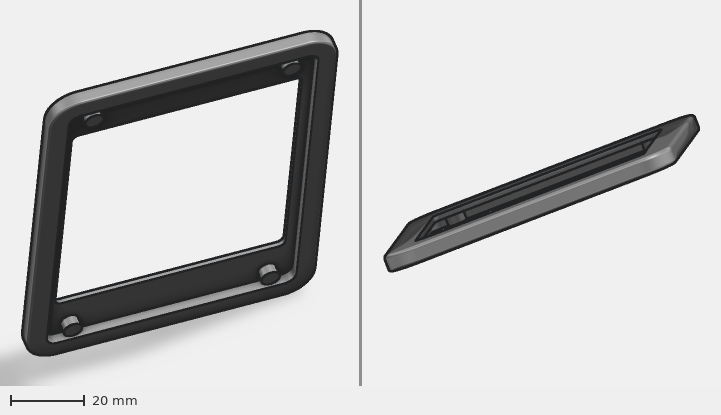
import cadquery as cq
import math

overall_height = 115.2
tilt_angle = 10.0
thickness = 4.7
width = 84.0
corner_radius = 9.1
front_edge_radius = 1.0
back_edge_radius = 0.8

tilt = math.radians(tilt_angle)
edge_radii = front_edge_radius + back_edge_radius
rounding_rise = edge_radii * (1 - math.cos(tilt))
thickness_rise = (thickness - edge_radii) * math.sin(tilt)
height = (overall_height - rounding_rise - thickness_rise) / math.cos(tilt)

window_width = 66.8
window_height = 77.7
window_corner_radius = 2.0

panel_thickness = 1.6
rim_width = 5.8
recess_width = width - 2 * rim_width
recess_height = height - 2 * rim_width
recess_corner_radius = corner_radius - rim_width

boss_diameter = 5.3
boss_side_inset = 4.7
boss_window_gap = 6.8
boss_y = window_width / 2 - boss_side_inset
boss_z = window_height / 2 + boss_window_gap + boss_diameter / 2


def rounded_block(size_y, size_z, radius, start_x, end_x):
    """Rounded rectangle centred on the X axis and filling start_x to end_x."""
    return (
        cq.Workplane("YZ", origin=(start_x, 0, 0))
        .rect(size_y, size_z)
        .extrude(end_x - start_x)
        .edges("|X")
        .fillet(radius)
    )


def make_plate():
    """Outer plate with rounded front and back edges."""
    plate = rounded_block(width, height, corner_radius, 0, thickness)
    plate = plate.faces("<X").edges().fillet(front_edge_radius)
    return plate.faces(">X").edges().fillet(back_edge_radius)


def make_bosses():
    """Four bosses from the front panel to the level of the back face."""
    return (
        cq.Workplane("YZ", origin=(panel_thickness, 0, 0))
        .rect(2 * boss_y, 2 * boss_z, forConstruction=True)
        .vertices()
        .circle(boss_diameter / 2)
        .extrude(thickness - panel_thickness)
    )


recess = rounded_block(recess_width, recess_height, recess_corner_radius, panel_thickness, thickness)
window = rounded_block(window_width, window_height, window_corner_radius, 0, thickness)

frame = make_plate().cut(recess).cut(window).union(make_bosses())

result = frame.rotate((0, 0, 0), (0, 1, 0), tilt_angle)